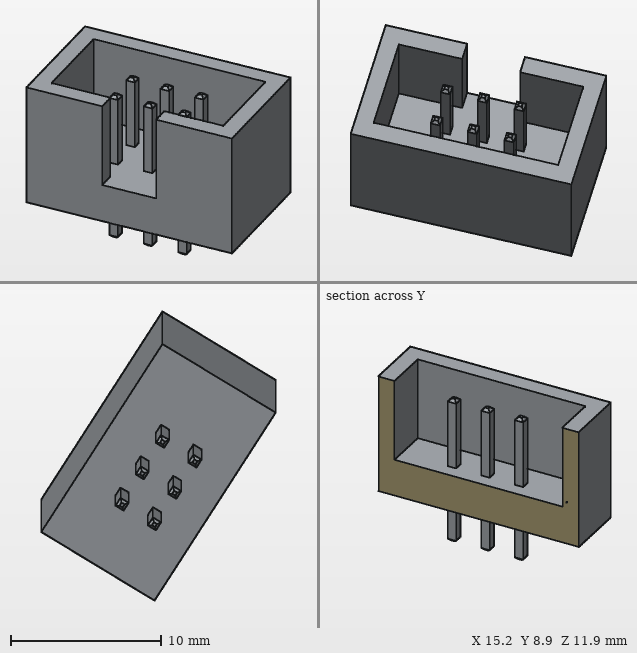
import cadquery as cq

housing_length = 15.24
housing_width = 8.9
housing_height = 8.9
wall_thickness = 1.25
pocket_depth = 6.1
slot_width = 4.0

pin_columns = 3
pin_rows = 2
pin_pitch = 2.55
pin_side = 0.64
pin_bevel = 0.2
pin_tail = 3.0
pin_tip_recess = 0.9

pin_length = pin_tail + housing_height - pin_tip_recess
floor_thickness = housing_height - pocket_depth


def make_housing():
    """Box standing on Z = 0, with an open pocket and a slot through its -Y wall."""
    body = cq.Workplane("XY").box(
        housing_length, housing_width, housing_height, centered=(True, True, False)
    )
    pocket = (
        cq.Workplane("XY")
        .workplane(offset=floor_thickness)
        .rect(housing_length - 2 * wall_thickness, housing_width - 2 * wall_thickness)
        .extrude(pocket_depth)
    )
    slot = (
        cq.Workplane("XY")
        .workplane(offset=floor_thickness)
        .center(0, -housing_width / 4)
        .rect(slot_width, housing_width / 2)
        .extrude(pocket_depth)
    )
    return body.cut(pocket).cut(slot)


def make_pins():
    """Grid of pins that pass through the housing floor."""
    return (
        cq.Workplane("XY")
        .workplane(offset=-pin_tail)
        .rarray(pin_pitch, pin_pitch, pin_columns, pin_rows)
        .rect(pin_side, pin_side)
        .extrude(pin_length)
        .faces("<Z or >Z")
        .chamfer(pin_bevel)
    )


result = make_housing().union(make_pins())